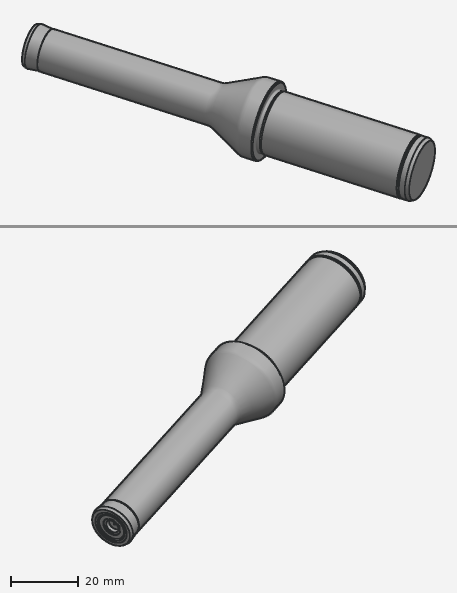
import cadquery as cq
import math

total_length = 128.0
seam_x = 5.0

head_diameter = 14.1
head_rear_diameter = 13.2
head_chamfer = 1.2
head_chamfer_height = 0.4
recess_mouth_diameter = 9.6
recess_floor_diameter = 8.7
recess_depth = 0.4
counterbore_diameter = 5.9
bore_diameter = 4.4
bore_floor_diameter = 3.7
counterbore_depth = 0.8
bore_depth = 1.9
pilot_diameter = 0.5
pilot_depth = 2.5
land_diameter = 11.0
land_step = 0.1

neck_diameter = 13.5
neck_chamfer = 0.1
cone_blend_start_x = 60.0
cone_blend_radius = 4.5
collar_start_x = 73.7
collar_end_x = 78.1
collar_diameter = 25.0
collar_blend_radius = 3.3
collar_chamfer = 0.4
cone_angle = math.radians(26.5)

shank_diameter = 20.0
relief_diameter = 19.5
relief_fillet = 0.5
relief_ramp_start_x = 79.2
shank_start_x = 79.9
groove_start_x = 124.2
groove_floor_x = 124.5
groove_end_x = 124.9
end_land_diameter = 19.8
end_chamfer_length = 1.2
end_chamfer_height = 0.6


def revolve_about_x(profile):
    """Revolve an X-radius profile about the X axis."""
    return profile.close().revolve(360, (0, 0, 0), (1, 0, 0))


def make_head():
    """Back-tapered cutting head with a recessed front face and a stepped blind bore."""
    profile = (
        cq.Workplane("XY")
        .moveTo(pilot_depth, 0)
        .lineTo(pilot_depth, pilot_diameter / 2)
        .lineTo(bore_depth, pilot_diameter / 2)
        .lineTo(bore_depth, bore_floor_diameter / 2)
        .lineTo(counterbore_depth, bore_diameter / 2)
        .lineTo(counterbore_depth, counterbore_diameter / 2)
        .lineTo(recess_depth, counterbore_diameter / 2)
        .lineTo(recess_depth, recess_floor_diameter / 2)
        .lineTo(land_step, recess_mouth_diameter / 2)
        .lineTo(land_step, land_diameter / 2)
        .lineTo(0, land_diameter / 2)
        .lineTo(0, head_diameter / 2 - head_chamfer_height)
        .lineTo(head_chamfer, head_diameter / 2)
        .lineTo(seam_x, head_rear_diameter / 2)
        .lineTo(seam_x, 0)
    )
    return revolve_about_x(profile)


def make_holder():
    """Neck, blended cone, collar and relieved clamping shank in one turned body."""
    neck_radius = neck_diameter / 2
    collar_radius = collar_diameter / 2
    relief_radius = relief_diameter / 2
    shank_radius = shank_diameter / 2
    end_land_radius = end_land_diameter / 2

    def blend_offset(radius, angle):
        """Axial and radial travel along an arc that turns away from the axis direction."""
        return radius * math.sin(angle), radius * (1 - math.cos(angle))

    def after_neck(angle):
        along, out = blend_offset(cone_blend_radius, angle)
        return cone_blend_start_x + along, neck_radius + out

    def before_collar(angle):
        along, out = blend_offset(collar_blend_radius, angle)
        return collar_start_x - along, collar_radius - out

    profile = (
        cq.Workplane("XY")
        .moveTo(seam_x, 0)
        .lineTo(seam_x, neck_radius - neck_chamfer)
        .lineTo(seam_x + neck_chamfer, neck_radius)
        .lineTo(cone_blend_start_x, neck_radius)
        .threePointArc(after_neck(cone_angle / 2), after_neck(cone_angle))
        .lineTo(*before_collar(cone_angle))
        .threePointArc(before_collar(cone_angle / 2), (collar_start_x, collar_radius))
        .lineTo(collar_end_x - collar_chamfer, collar_radius)
        .lineTo(collar_end_x, collar_radius - collar_chamfer)
        .lineTo(collar_end_x, relief_radius + relief_fillet)
        .radiusArc((collar_end_x + relief_fillet, relief_radius), -relief_fillet)
        .lineTo(relief_ramp_start_x, relief_radius)
        .lineTo(shank_start_x, shank_radius)
        .lineTo(groove_start_x, shank_radius)
        .lineTo(groove_floor_x, relief_radius)
        .lineTo(groove_end_x, end_land_radius)
        .lineTo(total_length - end_chamfer_length, end_land_radius)
        .lineTo(total_length, end_land_radius - end_chamfer_height)
        .lineTo(total_length, 0)
    )
    return revolve_about_x(profile)


head = make_head()
holder = make_holder()
result = cq.Compound.makeCompound([head.val(), holder.val()])